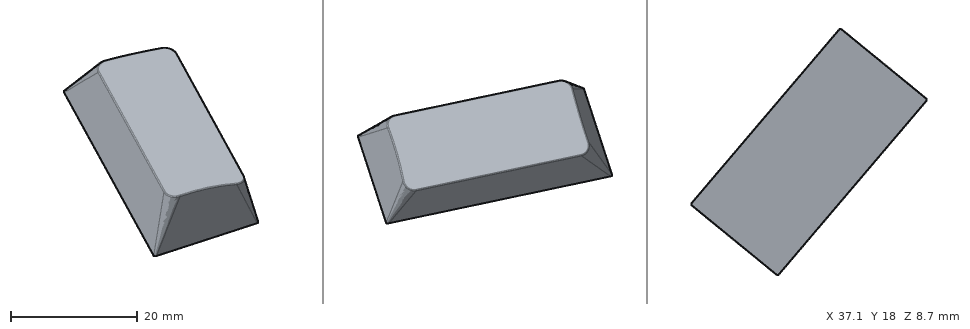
import cadquery as cq
import math

base_length = 37.05
base_depth = 18.0
base_corner_radius = 0.3

height = 8.7
crown_radius = 40.0
crown_crest_y = -4.45

top_length = 30.0
top_depth = 13.45
top_corner_radius = 2.0
top_center_y = 1.75
top_rim_radius = 0.22

crown_center_z = height - crown_radius
tangent_angle = math.asin((top_center_y - crown_crest_y) / crown_radius)
top_center_z = crown_center_z + crown_radius * math.cos(tangent_angle)


def rounded_rectangle(length, depth, corner_radius):
    return cq.Sketch().rect(length, depth).vertices().fillet(corner_radius)


def flared_body():
    """Straight-walled transition from the base outline to the tilted top outline."""
    base_outline = rounded_rectangle(base_length, base_depth, base_corner_radius)
    tilt = cq.Location((0, top_center_y, top_center_z), (-math.degrees(tangent_angle), 0, 0))
    top_outline = rounded_rectangle(top_length, top_depth, top_corner_radius).moved(tilt)
    return cq.Workplane("XY").placeSketch(base_outline, top_outline).loft(ruled=True)


def crown():
    """Cylinder along X that keeps everything below the convex top."""
    return (
        cq.Workplane("YZ")
        .center(crown_crest_y, crown_center_z)
        .circle(crown_radius)
        .extrude(base_length / 2, both=True)
    )


keycap = flared_body().intersect(crown())
result = keycap.faces(">Z").edges().fillet(top_rim_radius)